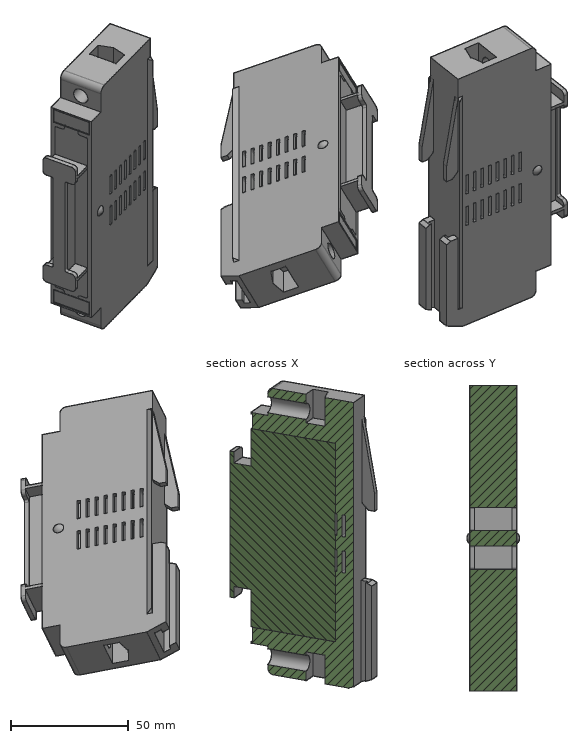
import cadquery as cq

height = 130.0
half_height = height / 2
width = 20.0
half_width = width / 2
depth = 49.0
shoulder_y = 7.9
shoulder_drop = 12.6
shoulder_radius = 2.9

hook_reach = 6.0
hook_y = depth + hook_reach
latch_thickness = 2.3
latch_start_drop = 10.4
latch_knee_drop = 42.9
latch_tip_drop = 51.0
latch_root_drop = 48.1
latch_tip_depth = 3.0
foot_height = 47.0
foot_wall = 3.1
foot_lip_width = 5.1
foot_lip_depth = 3.0
foot_top_chamfer_y = 2.1
foot_top_chamfer_z = 1.0
foot_bottom_chamfer_y = 8.5
foot_bottom_chamfer_z = 3.6

overall_width = 22.5
side_projection = (overall_width - width) / 2
rib_depth = 2.5
rib_end_drop = 9.8
rib_end_bevel = 1.7
rib_half_length = half_height - rib_end_drop
button_y = 7.3
button_radius = 2.3

slot_count = 8
slot_row_length = 28.0
slot_pitch = slot_row_length / (slot_count - 1)
first_slot_y = 16.2
slot_width = 1.4
slot_corner_radius = 0.4
slot_length = 9.8
slot_row_z = 8.2

pocket_width = 13.0
pocket_front_y = 26.3
pocket_shoulder_y = 33.3
pocket_apex_y = 35.2
pocket_depth = 13.0
screw_hole_diameter = 7.0
screw_hole_drop = 7.9

label_width = 17.7
label_height = 6.8
label_top_drop = 13.4
label_depth = 0.5
label_outer_z = half_height - label_top_drop
label_inner_z = label_outer_z - label_height

core_width = 16.1
core_half_height = 42.9
core_rear_y = 40.0
core_radius = 0.8
neck_width = 6.6
neck_radius = 1.3

plate_front_y = -10.0
plate_thickness = 2.0
plate_half_height = 33.2
head_height = 9.1
head_radius = 2.0
stem_width = 5.8
stem_radius = 0.9
web_width = 4.0
shelf_outer_z = 28.1
shelf_thickness = 1.5


def box(x_range, y_range, z_range):
    """Box between the given limits on each axis."""
    (x0, x1), (y0, y1), (z0, z1) = x_range, y_range, z_range
    return cq.Workplane("XY").box(x1 - x0, y1 - y0, z1 - z0, centered=False).translate((x0, y0, z0))


def side_profile(points, x_start, x_end):
    """Prism along X from a (Y, Z) outline."""
    return cq.Workplane("YZ").workplane(offset=x_start).polyline(points).close().extrude(x_end - x_start)


def mirrored(body, plane):
    """The body joined with its mirror image."""
    return body.union(body.mirror(plane))


def make_shell():
    """Stepped main block with rounded front shoulders."""
    block = box((-half_width, half_width), (0, depth), (-half_height, half_height))
    step = box(
        (-half_width, half_width), (0, shoulder_y), (half_height - shoulder_drop, half_height)
    )
    block = block.cut(mirrored(step, "XY"))
    for end in (-1, 1):
        edge = cq.selectors.NearestToPointSelector((0, shoulder_y, end * half_height))
        block = block.edges(edge).fillet(shoulder_radius)
    return block


def make_latches():
    """Pair of sloped upper latches with blunt hooked tips."""
    points = [
        (depth, half_height - latch_start_drop),
        (hook_y, half_height - latch_knee_drop),
        (hook_y, half_height - latch_tip_drop),
        (hook_y - latch_tip_depth, half_height - latch_tip_drop),
        (depth, half_height - latch_root_drop),
    ]
    return mirrored(side_profile(points, -half_width, -half_width + latch_thickness), "YZ")


def make_feet():
    """Pair of lower walls with inward rear lips and bevelled tops."""
    foot_top = -half_height + foot_height
    points = [
        (depth, -half_height),
        (hook_y, -half_height),
        (hook_y, foot_top - foot_top_chamfer_z),
        (hook_y - foot_top_chamfer_y, foot_top),
        (depth, foot_top),
    ]
    foot = side_profile(points, -half_width, -half_width + foot_lip_width)
    undercut = box(
        (-half_width + foot_wall, -half_width + foot_lip_width),
        (depth, hook_y - foot_lip_depth),
        (-half_height, foot_top),
    )
    return mirrored(foot.cut(undercut), "YZ")


def make_bottom_bevel_cut():
    """Wedge that bevels the feet and the block along the rear bottom edge."""
    bevel_start_y = hook_y - foot_bottom_chamfer_y
    points = [
        (bevel_start_y, -half_height),
        (hook_y, -half_height),
        (hook_y, -half_height + foot_bottom_chamfer_z),
    ]
    return side_profile(points, -half_width, half_width)


def make_side_ribs():
    """Triangular rib on each side, widest at the rear face and bevelled at its ends."""
    section = [
        (-half_width, depth - rib_depth),
        (-half_width, depth),
        (-half_width - side_projection, depth),
    ]
    rib = (
        cq.Workplane("XY")
        .workplane(offset=-rib_half_length)
        .polyline(section)
        .close()
        .extrude(2 * rib_half_length)
    )
    outline = [
        (-half_width, -rib_half_length),
        (-half_width, rib_half_length),
        (-half_width - side_projection, rib_half_length - rib_end_bevel),
        (-half_width - side_projection, -rib_half_length + rib_end_bevel),
    ]
    bevelled_ends = cq.Workplane("XZ").polyline(outline).close().extrude(-depth)
    return mirrored(rib.intersect(bevelled_ends), "YZ")


def make_buttons():
    """Spherical-cap button on each side."""
    sphere_radius = (button_radius**2 + side_projection**2) / (2 * side_projection)
    sphere_x = -half_width - side_projection + sphere_radius
    sphere = cq.Workplane("XY").sphere(sphere_radius).translate((sphere_x, button_y, 0))
    outside = box(
        (-half_width - side_projection, -half_width),
        (button_y - button_radius, button_y + button_radius),
        (-button_radius, button_radius),
    )
    return mirrored(sphere.intersect(outside), "YZ")


def make_slots():
    """Two rows of upright slots with rounded corners, running through the full width."""
    centers = [
        (first_slot_y + i * slot_pitch, row * slot_row_z)
        for i in range(slot_count)
        for row in (-1, 1)
    ]
    return (
        cq.Workplane("YZ")
        .pushPoints(centers)
        .rect(slot_width, slot_length)
        .extrude(half_width, both=True)
        .edges("|X")
        .fillet(slot_corner_radius)
    )


def make_terminal_cuts():
    """Five-sided end pockets, each reached by a screw hole from the front."""
    half = pocket_width / 2
    outline = [
        (-half, pocket_front_y),
        (half, pocket_front_y),
        (half, pocket_shoulder_y),
        (0, pocket_apex_y),
        (-half, pocket_shoulder_y),
    ]
    pocket = (
        cq.Workplane("XY")
        .workplane(offset=half_height - pocket_depth)
        .polyline(outline)
        .close()
        .extrude(pocket_depth)
    )
    hole = (
        cq.Workplane("XZ")
        .center(0, half_height - screw_hole_drop)
        .circle(screw_hole_diameter / 2)
        .extrude(-pocket_shoulder_y)
    )
    return mirrored(pocket.union(hole), "XY")


def make_label_recesses():
    """Shallow rectangular recess near each end of the front face."""
    recess = box(
        (-label_width / 2, label_width / 2),
        (0, label_depth),
        (label_inner_z, label_outer_z),
    )
    return mirrored(recess, "XY")


def make_core():
    """Insert core, flush with the housing front, with a neck at each end."""
    core = box(
        (-core_width / 2, core_width / 2), (0, core_rear_y), (-core_half_height, core_half_height)
    )
    core = core.edges("|Y").fillet(core_radius)
    neck = box((-neck_width / 2, neck_width / 2), (0, core_rear_y), (-label_inner_z, label_inner_z))
    core = core.union(neck)
    for side in (-1, 1):
        for end in (-1, 1):
            corner = (side * neck_width / 2, core_rear_y / 2, end * core_half_height)
            core = core.edges(cq.selectors.NearestToPointSelector(corner)).fillet(neck_radius)
    return core


def make_handle():
    """Front plate shaped like an I, carried by two shelves and a central web."""
    plate_rear_y = plate_front_y + plate_thickness
    plate_y = (plate_front_y, plate_rear_y)
    head_inner_z = plate_half_height - head_height
    head = box((-core_width / 2, core_width / 2), plate_y, (head_inner_z, plate_half_height))
    heads = mirrored(head.edges("|Y").fillet(head_radius), "XY")
    stem = box((-stem_width / 2, stem_width / 2), plate_y, (-head_inner_z, head_inner_z))
    plate = heads.union(stem)
    for side in (-1, 1):
        for end in (-1, 1):
            corner = (side * stem_width / 2, plate_front_y + plate_thickness / 2, end * head_inner_z)
            plate = plate.edges(cq.selectors.NearestToPointSelector(corner)).fillet(stem_radius)

    bridge_y = (plate_rear_y, 0)
    shelf = box(
        (-core_width / 2, core_width / 2), bridge_y, (shelf_outer_z - shelf_thickness, shelf_outer_z)
    )
    web = box((-web_width / 2, web_width / 2), bridge_y, (-shelf_outer_z, shelf_outer_z))
    return plate.union(mirrored(shelf, "XY")).union(web)


def make_housing(core):
    """Housing with its hooks, ribs and buttons, and a cavity matching the insert core."""
    body = make_shell()
    additions = [make_latches(), make_feet(), make_side_ribs(), make_buttons()]
    for addition in additions:
        body = body.union(addition)
    removals = [make_bottom_bevel_cut(), make_slots(), make_terminal_cuts(), make_label_recesses(), core]
    for removal in removals:
        body = body.cut(removal)
    return body


core = make_core()
insert = core.union(make_handle())
housing = make_housing(core)

result = cq.Compound.makeCompound([housing.solids().val(), insert.solids().val()])